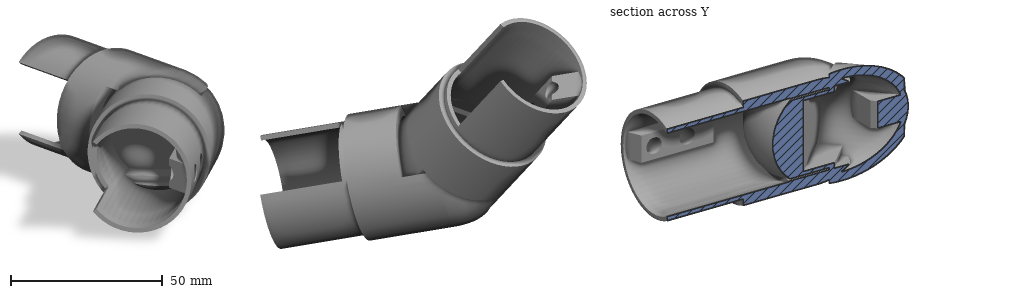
import cadquery as cq
import math


ARM_LENGTH = 60.0
COLLAR_END = 30.0
BEND_ANGLE = 45.0
WALL = 1.5
SLOT_LENGTH = 28.0
SLOT_HALF_ANGLE = 40.0
BLOCK_WIDTH = 10.0
BLOCK_EMBED = WALL / 2
HOLE_DIAMETER = 6.0
HOLE_SPACING = 13.0

FORK_COLLAR_RADIUS = 21.2
FORK_SPIGOT_RADIUS = 19.1
FORK_BORE_RADIUS = FORK_SPIGOT_RADIUS - WALL
FORK_HALF_GAP = 15.0
FORK_ROOT = 11.8
FORK_HOLE_OFFSET = 8.5
FORK_BLOCK_FACE = 12.0
FORK_BLOCK_NOSE = (0.9, 3.5)
FORK_BLOCK_TAIL = (28.0, 28.0)

BALL_RADIUS = 20.5
BALL_SPIGOT_RADIUS = 18.6
BALL_BORE_RADIUS = BALL_SPIGOT_RADIUS - WALL
BALL_HALF_HEIGHT = 14.43
BALL_SHOULDER = 9.0
BALL_BORE_END = BALL_SHOULDER + WALL
BALL_POCKET_FLOOR = 1.9
BALL_POCKET_HALF_HEIGHT = BALL_HALF_HEIGHT - WALL
BALL_HOLE_OFFSET = 9.4
BALL_BLOCK_FACE = 10.0
BALL_BLOCK_NOSE = (0.9, 8.0)
BALL_BLOCK_TAIL = (11.8, 20.0)


def rod(radius, start, end):
    """Cylinder on the arm axis between two distances from the knuckle."""
    return cq.Workplane("YZ").workplane(offset=-end).circle(radius).extrude(end - start)


def slab(start, end, bottom, top, half_width):
    """Box between two distances from the knuckle and two heights."""
    box = cq.Workplane("XY").box(
        end - start, 2 * half_width, top - bottom, centered=(False, True, False)
    )
    return box.translate((-end, 0, bottom))


def flat_sided_bore(radius, start, end, half_height):
    """Round bore limited by flats above and below the axis."""
    return rod(radius, start, end).intersect(slab(start, end, -half_height, half_height, radius))


def solid_arm(collar_radius, spigot_radius):
    """Ball end, collar and spigot without any openings."""
    ball = cq.Workplane("XY").sphere(collar_radius)
    collar = rod(collar_radius, 0, COLLAR_END)
    spigot = rod(spigot_radius, COLLAR_END, ARM_LENGTH)
    return ball.union(collar).union(spigot)


def side_slot(spigot_radius):
    """Wedge whose radial sides open the spigot toward -Y."""
    reach = 2 * spigot_radius
    spread = reach * math.tan(math.radians(SLOT_HALF_ANGLE))
    return (
        cq.Workplane("YZ")
        .workplane(offset=-ARM_LENGTH)
        .polyline([(0, 0), (-reach, spread), (-reach, -spread)])
        .close()
        .extrude(SLOT_LENGTH)
    )


def screw_block(bore_radius, face, nose, tail):
    """Block on the +Y wall, its ends running from the wall to the face."""
    nose_at_wall, nose_at_face = nose
    tail_at_wall, tail_at_face = tail
    embedded = bore_radius + BLOCK_EMBED
    profile = [
        (-ARM_LENGTH + nose_at_wall, embedded),
        (-ARM_LENGTH + nose_at_wall, bore_radius),
        (-ARM_LENGTH + nose_at_face, face),
        (-tail_at_face, face),
        (-tail_at_wall, bore_radius),
        (-tail_at_wall, embedded),
    ]
    return (
        cq.Workplane("XY")
        .workplane(offset=-BLOCK_WIDTH / 2)
        .polyline(profile)
        .close()
        .extrude(BLOCK_WIDTH)
    )


def screw_holes(first_offset, spigot_radius):
    """Two holes along Y through the screw block and the wall behind it."""
    first = -ARM_LENGTH + first_offset
    return (
        cq.Workplane("XZ")
        .pushPoints([(first, 0), (first + HOLE_SPACING, 0)])
        .circle(HOLE_DIAMETER / 2)
        .extrude(-2 * spigot_radius)
    )


def finish_spigot(arm, spigot_radius, face, nose, tail, hole_offset):
    """Cut the side slot, add the screw block and drill it."""
    slotted = arm.cut(side_slot(spigot_radius))
    blocked = slotted.union(screw_block(spigot_radius - WALL, face, nose, tail))
    return blocked.cut(screw_holes(hole_offset, spigot_radius))


def fork_arm():
    arm = solid_arm(FORK_COLLAR_RADIUS, FORK_SPIGOT_RADIUS)
    arm = arm.cut(rod(FORK_BORE_RADIUS, FORK_ROOT, ARM_LENGTH))
    beyond = 2 * FORK_COLLAR_RADIUS
    arm = arm.cut(slab(-beyond, FORK_ROOT, -FORK_HALF_GAP, FORK_HALF_GAP, beyond))
    return finish_spigot(
        arm, FORK_SPIGOT_RADIUS, FORK_BLOCK_FACE, FORK_BLOCK_NOSE, FORK_BLOCK_TAIL, FORK_HOLE_OFFSET
    )


def ball_arm():
    arm = solid_arm(BALL_RADIUS, BALL_SPIGOT_RADIUS)
    beyond = 2 * BALL_RADIUS
    arm = arm.cut(slab(-beyond, BALL_SHOULDER, BALL_HALF_HEIGHT, beyond, beyond))
    arm = arm.cut(slab(-beyond, BALL_SHOULDER, -beyond, -BALL_HALF_HEIGHT, beyond))
    arm = arm.cut(rod(BALL_BORE_RADIUS, BALL_BORE_END, ARM_LENGTH))
    arm = arm.cut(
        flat_sided_bore(BALL_BORE_RADIUS, BALL_POCKET_FLOOR, BALL_BORE_END, BALL_POCKET_HALF_HEIGHT)
    )
    return finish_spigot(
        arm, BALL_SPIGOT_RADIUS, BALL_BLOCK_FACE, BALL_BLOCK_NOSE, BALL_BLOCK_TAIL, BALL_HOLE_OFFSET
    )


turned_ball_arm = ball_arm().mirror("YZ").rotate((0, 0, 0), (0, 0, 1), -BEND_ANGLE)
result = fork_arm().union(turned_ball_arm)